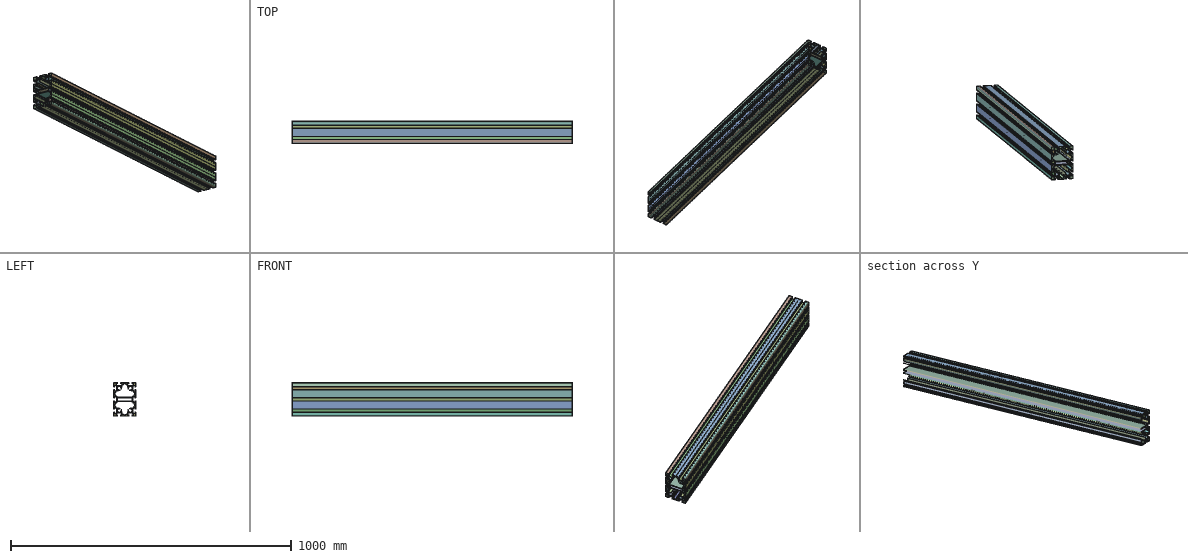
import cadquery as cq

LENGTH = 1000.0
WIDTH = 80.0
HEIGHT = 120.0
MODULE = 40.0
CORNER_RADIUS = 2.5

SLOT_OPENING = 10.2
MOUTH_CHAMFER = 1.0
LIP_THICKNESS = 4.0
SLOT_CAVITY_WIDTH = 19.0
SLOT_FLOOR_WIDTH = 14.0
SLOT_SIDE_DEPTH = 7.0
SLOT_DEPTH = 11.0

BORE_DIAMETER = 12.5
ARM_ROOT_REACH = 10.5
ARM_TIP_REACH = 8.0
ARM_OVERHANG = 3.5

SKIN = 3.6
PEAK_FLAT = 1.0
SHOULDER_DEPTH = 8.5
SHOULDER_OFFSET = 7.0
CHAMBER_FLOOR_HEIGHT = 8.0
FLOOR_HAUNCH_RUN = 7.0
BOX_WIDTH = 51.0
BOX_HEIGHT = 9.6

HALF_WIDTH = WIDTH / 2
HALF_HEIGHT = HEIGHT / 2
BORE_Y = MODULE / 2
BORE_Z = MODULE
ORIGIN = (0, 0, 0)
LENGTH_AXIS = (1, 0, 0)


def extrude_section(points):
    """Extrude a closed YZ outline along the whole length."""
    return cq.Workplane("YZ").polyline(points).close().extrude(LENGTH)


def both_sides(half):
    """Complete an outline by mirroring its points across the first coordinate."""
    return half + [(-across, along) for across, along in reversed(half)]


def make_slot(face_distance, offset, turn):
    """T-slot opening in +Z at face_distance, shifted sideways, then turned about X."""
    mouth = SLOT_OPENING / 2
    half = [
        (mouth + MOUTH_CHAMFER, face_distance),
        (mouth, face_distance - MOUTH_CHAMFER),
        (mouth, face_distance - LIP_THICKNESS),
        (SLOT_CAVITY_WIDTH / 2, face_distance - LIP_THICKNESS),
        (SLOT_CAVITY_WIDTH / 2, face_distance - SLOT_SIDE_DEPTH),
        (SLOT_FLOOR_WIDTH / 2, face_distance - SLOT_DEPTH),
    ]
    slot = extrude_section(both_sides(half)).translate((0, offset, 0))
    return slot.rotate(ORIGIN, LENGTH_AXIS, turn)


def make_chamber():
    """Upper hollow chamber, shaped around the two screw channels."""
    ceiling_shoulder_z = HALF_HEIGHT - SHOULDER_DEPTH
    wall_shoulder_y = HALF_WIDTH - SHOULDER_DEPTH
    side_peak_z = MODULE / 2
    lower_shoulder_z = side_peak_z - SHOULDER_OFFSET
    throat_start = ARM_TIP_REACH - ARM_OVERHANG
    half = [
        (PEAK_FLAT / 2, HALF_HEIGHT - SKIN),
        (SHOULDER_OFFSET, ceiling_shoulder_z),
        (BORE_Y - ARM_ROOT_REACH, ceiling_shoulder_z),
        (BORE_Y - ARM_TIP_REACH, BORE_Z - ARM_OVERHANG),
        (BORE_Y - throat_start, BORE_Z),
        (BORE_Y, BORE_Z - throat_start),
        (BORE_Y - ARM_OVERHANG, BORE_Z - ARM_TIP_REACH),
        (wall_shoulder_y, BORE_Z - ARM_ROOT_REACH),
        (wall_shoulder_y, side_peak_z + SHOULDER_OFFSET),
        (HALF_WIDTH - SKIN, side_peak_z + PEAK_FLAT / 2),
        (HALF_WIDTH - SKIN, side_peak_z - PEAK_FLAT / 2),
        (wall_shoulder_y, lower_shoulder_z),
        (wall_shoulder_y - FLOOR_HAUNCH_RUN, CHAMBER_FLOOR_HEIGHT),
    ]
    return extrude_section(both_sides(half))


def make_profile():
    """Full extrusion with its ten T-slots, chambers, screw channels and central box."""
    body = cq.Workplane("YZ").rect(WIDTH, HEIGHT).extrude(LENGTH).edges("|X").fillet(CORNER_RADIUS)
    for turn in (0, 180):
        for offset in (-BORE_Y, BORE_Y):
            body = body.cut(make_slot(HALF_HEIGHT, offset, turn))
        body = body.cut(make_chamber().rotate(ORIGIN, LENGTH_AXIS, turn))
    for turn in (-90, 90):
        for offset in (-BORE_Z, 0, BORE_Z):
            body = body.cut(make_slot(HALF_WIDTH, offset, turn))
    bores = cq.Workplane("YZ").rect(2 * BORE_Y, 2 * BORE_Z, forConstruction=True).vertices()
    body = body.cut(bores.circle(BORE_DIAMETER / 2).extrude(LENGTH))
    return body.cut(cq.Workplane("YZ").rect(BOX_WIDTH, BOX_HEIGHT).extrude(LENGTH))


result = make_profile().translate((-LENGTH / 2, 0, 0))